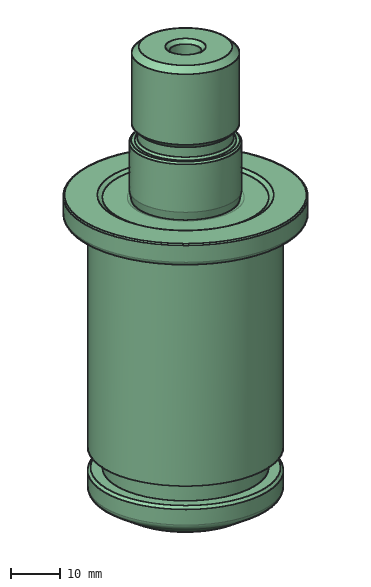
import cadquery as cq
import math

total_height = 102.0
flange_top = 69.0
flange_corner = 64.3
body_bottom = 12.9
rim_top = 8.3
stud_bottom = 85.0
stud_groove_top = 83.8
shoulder_top = 81.2
shoulder_bottom = 70.2

flange_radius = 50.0 / 2
body_radius = 40.0 / 2
body_groove_radius = 34.0 / 2
nose_bottom_radius = 14.1
stud_radius = 22.0 / 2
stud_groove_radius = 19.7 / 2
shoulder_radius = 23.0 / 2
stud_top_radius = 19.1 / 2

stud_chamfer_height = 1.3
shoulder_chamfer = 0.4
groove_fillet = 0.5
rim_chamfer = 0.6
flange_top_chamfer = 0.3

nose_slope = math.radians(30)
nose_blend = 0.8
flange_slope = math.radians(16)
flange_blend = 0.7
neck_blend = 0.5

nose_corner = (body_radius - nose_bottom_radius) * math.tan(nose_slope)
neck_corner = flange_corner - (flange_radius - body_radius) * math.tan(flange_slope)

recess_depth = 0.5
recess_floor = flange_top - recess_depth
recess_floor_radius = 34.0 / 2
recess_top_radius = 36.0 / 2
undercut_radius = 11.1
undercut_toe_radius = 11.9
undercut_depth = 0.2

bore_diameter = 6.5
countersink_diameter = 8.3
countersink_angle = 90


def point_on_cone(radius, height, slope, distance):
    """Move a signed distance outwards and upwards along a cone from a given point."""
    return (radius + distance * math.cos(slope), height + distance * math.sin(slope))


def turned_body():
    """Revolve the right-hand half section, drawn from the bottom upwards."""
    section = (
        cq.Workplane("XZ")
        .moveTo(0, 0)
        .lineTo(nose_bottom_radius, 0)
        .lineTo(*point_on_cone(body_radius, nose_corner, nose_slope, -nose_blend))
        .tangentArcPoint((body_radius, nose_corner + nose_blend), relative=False)
        .lineTo(body_radius, rim_top - rim_chamfer)
        .lineTo(body_radius - rim_chamfer, rim_top)
        .lineTo(body_groove_radius, rim_top)
        .lineTo(body_groove_radius, body_bottom - groove_fillet)
        .radiusArc((body_groove_radius + groove_fillet, body_bottom), -groove_fillet)
        .lineTo(body_radius, body_bottom)
        .lineTo(body_radius, neck_corner - neck_blend)
        .tangentArcPoint(
            point_on_cone(body_radius, neck_corner, flange_slope, neck_blend),
            relative=False,
        )
        .lineTo(*point_on_cone(flange_radius, flange_corner, flange_slope, -flange_blend))
        .tangentArcPoint((flange_radius, flange_corner + flange_blend), relative=False)
        .lineTo(flange_radius, flange_top - flange_top_chamfer)
        .lineTo(flange_radius - flange_top_chamfer, flange_top)
        .lineTo(recess_top_radius, flange_top)
        .lineTo(recess_floor_radius, recess_floor)
        .lineTo(undercut_toe_radius, recess_floor)
        .lineTo(undercut_radius, recess_floor - undercut_depth)
        .lineTo(shoulder_radius, shoulder_bottom)
        .lineTo(shoulder_radius, shoulder_top - shoulder_chamfer)
        .lineTo(shoulder_radius - shoulder_chamfer, shoulder_top)
        .lineTo(stud_groove_radius + groove_fillet, shoulder_top)
        .radiusArc((stud_groove_radius, shoulder_top + groove_fillet), -groove_fillet)
        .lineTo(stud_groove_radius, stud_groove_top)
        .lineTo(stud_radius, stud_bottom)
        .lineTo(stud_radius, total_height - stud_chamfer_height)
        .lineTo(stud_top_radius, total_height)
        .lineTo(0, total_height)
        .close()
    )
    return section.revolve(360, (0, 0, 0), (0, 1, 0))


def with_bore(body):
    """Cut the countersunk through bore along the axis."""
    return (
        body.faces(">Z")
        .workplane()
        .cskHole(bore_diameter, countersink_diameter, countersink_angle)
    )


result = with_bore(turned_body())